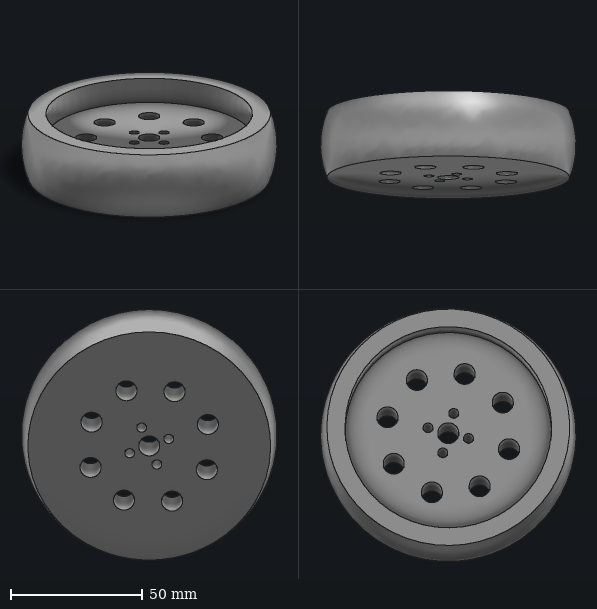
import cadquery as cq

outer_diameter = 97.6
rim_diameter = 92.6
width = 25.4

recess_diameter = 78.8
recess_depth = 9.8

bore_diameter = 8.0
web_hole_diameter = 8.0
web_hole_circle_diameter = 48.0
web_hole_count = 8
screw_hole_diameter = 3.7
screw_circle_diameter = 16.0
screw_hole_count = 4


def crowned_body():
    """Solid of revolution about Z with a bulging arc as its tread."""
    rim_radius = rim_diameter / 2
    return (
        cq.Workplane("XZ")
        .lineTo(rim_radius, 0)
        .threePointArc((outer_diameter / 2, width / 2), (rim_radius, width))
        .lineTo(0, width)
        .close()
        .revolve(360, (0, 0), (0, 1))
    )


def hole_ring(hole_diameter, circle_diameter, count):
    """Full-width cylinders spaced evenly on a circle, starting on +X."""
    return (
        cq.Workplane("XY")
        .polarArray(circle_diameter / 2, 0, 360, count)
        .circle(hole_diameter / 2)
        .extrude(width)
    )


recess = (
    cq.Workplane("XY")
    .workplane(offset=width - recess_depth)
    .circle(recess_diameter / 2)
    .extrude(recess_depth)
)
bore = cq.Workplane("XY").circle(bore_diameter / 2).extrude(width)

result = (
    crowned_body()
    .cut(recess)
    .cut(bore)
    .cut(hole_ring(web_hole_diameter, web_hole_circle_diameter, web_hole_count))
    .cut(hole_ring(screw_hole_diameter, screw_circle_diameter, screw_hole_count))
)